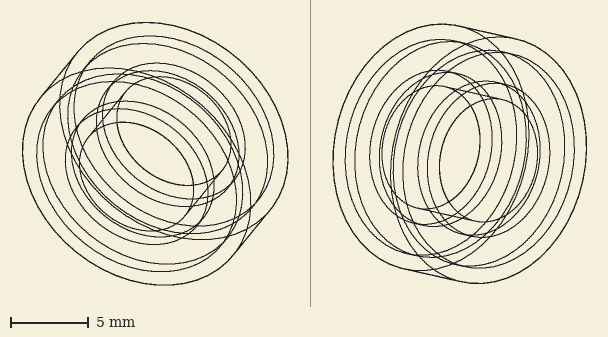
import cadquery as cq

outer_diameter = 16.0
bore_diameter = 8.0
width = 6.0
groove_outer_diameter = 14.0

ring_wall = (outer_diameter - groove_outer_diameter) / 2
groove_inner_diameter = bore_diameter + 2 * ring_wall
shield_recess = ring_wall


def tube(outside, inside, length):
    """Tube along Y, centred on the origin, revolved from its wall section."""
    wall = (outside - inside) / 2
    middle_radius = (outside + inside) / 4
    return (
        cq.Workplane("YZ")
        .center(0, middle_radius)
        .rect(length, wall)
        .revolve(360, (0, -middle_radius), (1, -middle_radius))
    )


outer_ring = tube(outer_diameter, groove_outer_diameter, width)
inner_ring = tube(groove_inner_diameter, bore_diameter, width)
web = tube(groove_outer_diameter, groove_inner_diameter, width - 2 * shield_recess)

result = outer_ring.union(web).union(inner_ring)